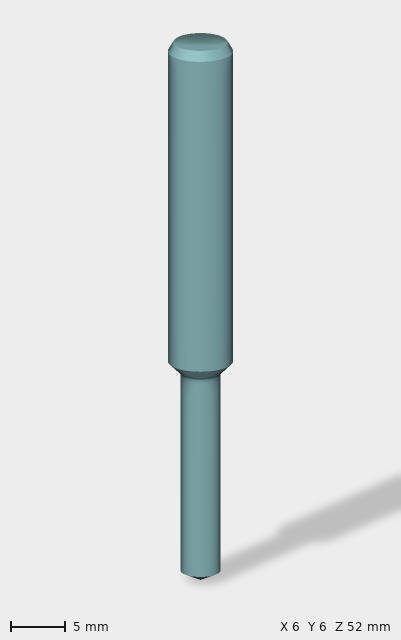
import cadquery as cq
import math

overall_length = 52.0
shank_diameter = 6.0
drill_diameter = 3.7

end_chamfer_width = 0.5
end_chamfer_height = 0.9
shoulder_bottom = 20.0
shoulder_angle = 45.0
point_height = 0.95

shank_radius = shank_diameter / 2
drill_radius = drill_diameter / 2
shoulder_height = (shank_radius - drill_radius) / math.tan(math.radians(shoulder_angle))


def revolve_profile(points):
    """Revolve a closed (radius, height) outline around the Z axis."""
    return cq.Workplane("XZ").polyline(points).close().revolve(360, (0, 0), (0, 1))


def make_shank():
    """Round shank with a chamfered top and a cone narrowing down to the drill."""
    return revolve_profile([
        (0, shoulder_bottom),
        (drill_radius, shoulder_bottom),
        (shank_radius, shoulder_bottom + shoulder_height),
        (shank_radius, overall_length - end_chamfer_height),
        (shank_radius - end_chamfer_width, overall_length),
        (0, overall_length),
    ])


def make_drill():
    """Slim cylinder with a conical point, meeting the shank at the foot of its cone."""
    return revolve_profile([
        (0, 0),
        (drill_radius, point_height),
        (drill_radius, shoulder_bottom),
        (0, shoulder_bottom),
    ])


shank = make_shank()
drill = make_drill()

result = cq.Compound.makeCompound([shank.val(), drill.val()])